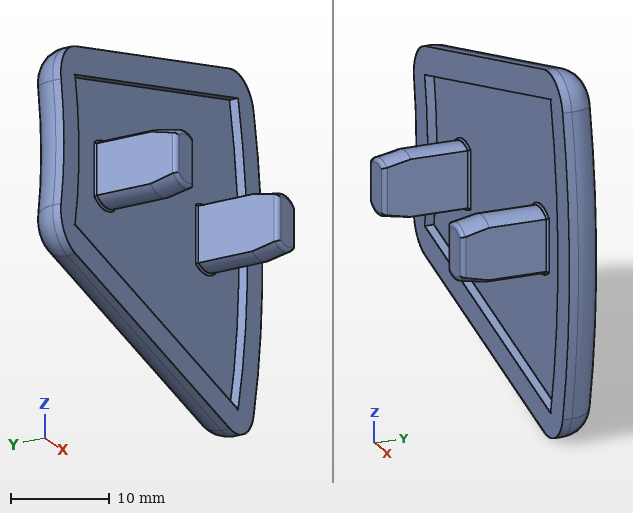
import cadquery as cq
import math

inner_radius = 40.0
outer_radius = 2 * inner_radius
half_angle = 15.0
corner_radius = 4.0
plate_thickness = 4.0
edge_round = 3.0

rim_width = 3.0
recess_depth = 1.0

peg_positions = (49.8, 70.3)
peg_width = 3.58
peg_height = 7.07
peg_end_radius = 3.17
arch_offset = 0.2
peg_length = 8.55
taper_length = 3.05
taper_angle = 10.0
tip_round = 0.5
root_flare = 0.2


def fan_outline(inset):
    """Sharp-cornered fan in the XZ plane, moved inwards by inset on every side."""
    angle = math.radians(half_angle)
    near = inner_radius + inset
    far = outer_radius - inset

    def corner(radius):
        direction = angle - math.asin(inset / radius)
        return radius * math.cos(direction), radius * math.sin(direction)

    near_x, near_z = corner(near)
    far_x, far_z = corner(far)
    return (
        cq.Workplane("XZ")
        .moveTo(near_x, -near_z)
        .lineTo(far_x, -far_z)
        .threePointArc((far, 0), (far_x, far_z))
        .lineTo(near_x, near_z)
        .threePointArc((near, 0), (near_x, -near_z))
        .close()
    )


def make_plate():
    """Plate from the front face at Y = 0 to the rounded back at +Y, with the recess cut in front."""
    plate = fan_outline(0).extrude(-plate_thickness)
    plate = plate.edges("|Y").fillet(corner_radius)
    plate = plate.faces(">Y").edges().fillet(edge_round)
    return plate.cut(fan_outline(rim_width).extrude(-recess_depth))


def lens_outline(y_position, growth=0):
    """Two equal arcs, crests at +Z and -Z, that meet beyond the peg sides; growth moves both outwards."""
    crest = peg_height / 2 + growth
    arc_radius = peg_end_radius + growth
    arc_centre = crest - arc_radius
    half_length = math.sqrt(arc_radius**2 - arc_centre**2)
    return (
        cq.Workplane("XZ", origin=(0, y_position, 0))
        .moveTo(-half_length, 0)
        .threePointArc((0, crest), (half_length, 0))
        .threePointArc((0, -crest), (-half_length, 0))
        .close()
    )


def make_peg(crest_x):
    """Flat-sided peg on the Y axis: arched ends with crests at crest_x, tapered to a rounded tip."""
    straight_length = peg_length - taper_length
    shank = lens_outline(recess_depth).extrude(straight_length + recess_depth)
    tip = lens_outline(-straight_length).extrude(taper_length, taper=taper_angle)
    sides = cq.Workplane("XY").box(peg_width, 3 * peg_length, 2 * peg_height)
    peg = shank.union(tip).translate((crest_x, 0, 0)).intersect(sides)
    return peg.faces("<Y").edges().fillet(tip_round)


def make_root(crest_x):
    """Low foot around the peg, flared at 45 degrees on all sides down to the recess floor."""
    arched = lens_outline(recess_depth, root_flare).extrude(root_flare, taper=45)
    flared_sides = (
        cq.Workplane("XZ", origin=(0, recess_depth, 0))
        .rect(peg_width + 2 * root_flare, 2 * peg_height)
        .extrude(root_flare, taper=45)
    )
    return arched.translate((crest_x, 0, 0)).intersect(flared_sides)


result = make_plate()
for peg_x, crest_x in zip(peg_positions, (arch_offset, -arch_offset)):
    peg = make_peg(crest_x).union(make_root(crest_x))
    result = result.union(peg.translate((peg_x, 0, 0)))